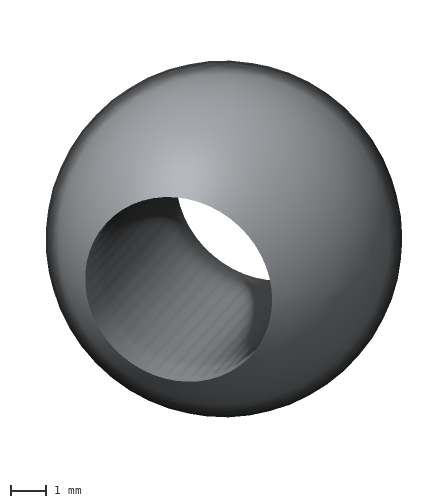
import math

import cadquery as cq

BALL_DIAMETER = 10.0
BORE_DIAMETER = 5.5

ball_radius = BALL_DIAMETER / 2
bore_radius = BORE_DIAMETER / 2

half_length = math.sqrt(ball_radius**2 - bore_radius**2)

half_section = (
    cq.Workplane("XY")
    .moveTo(bore_radius, -half_length)
    .threePointArc((ball_radius, 0), (bore_radius, half_length))
    .close()
)

result = half_section.revolve(360, (0, 0, 0), (0, 1, 0))